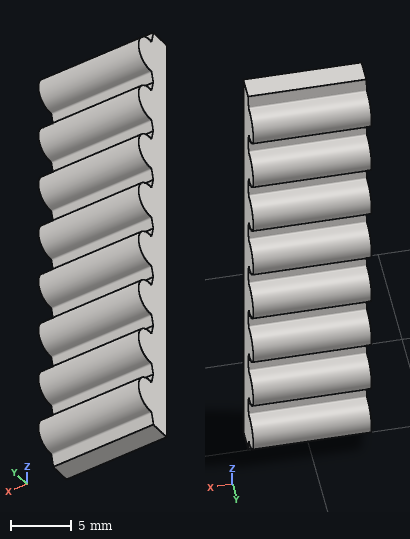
import cadquery as cq

length = 41.9
width = 10.0
thickness = 4.2

tooth_count = 8
pitch = 5.2
tooth_radius = 1.6
root_fillet = 0.15

backing_thickness = 2.0
land_dip = 0.2

back_y = -thickness / 2
tip_y = thickness / 2
valley_y = back_y + backing_thickness
flank_y = valley_y + land_dip
tooth_center_y = tip_y - tooth_radius
first_tooth_z = -pitch * (tooth_count - 1) / 2


def add_tooth(outline, center_z):
    """Draw one round-tipped tooth with filleted roots, going up in Z."""
    lower_z = center_z - tooth_radius
    upper_z = center_z + tooth_radius
    fillet_y = flank_y + root_fillet
    return (
        outline.lineTo(flank_y, lower_z - root_fillet)
        .radiusArc((fillet_y, lower_z), root_fillet)
        .lineTo(tooth_center_y, lower_z)
        .threePointArc((tip_y, center_z), (tooth_center_y, upper_z))
        .lineTo(fillet_y, upper_z)
        .radiusArc((flank_y, upper_z + root_fillet), root_fillet)
    )


outline = (
    cq.Workplane("YZ")
    .moveTo(back_y, -length / 2)
    .lineTo(valley_y, -length / 2)
)
for index in range(tooth_count):
    center_z = first_tooth_z + index * pitch
    outline = outline.lineTo(valley_y, center_z - pitch / 2)
    outline = add_tooth(outline, center_z)
outline = (
    outline.lineTo(valley_y, center_z + pitch / 2)
    .lineTo(valley_y, length / 2)
    .lineTo(back_y, length / 2)
    .close()
)

result = outline.extrude(width / 2, both=True)